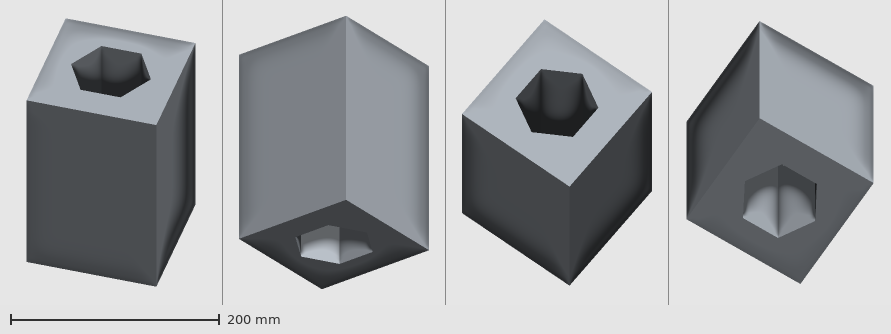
import cadquery as cq

block_side = 130.0
block_height = 200.0
bore_sides = 6
bore_across_corners = 80.0


def make_block():
    """Square block standing on the XY plane, centred on the Z axis."""
    return cq.Workplane("XY").rect(block_side, block_side).extrude(block_height)


def make_bore():
    """Hexagonal bore through the full height, with two corners towards +X and -X."""
    return cq.Workplane("XY").polygon(bore_sides, bore_across_corners).extrude(block_height)


result = make_block().cut(make_bore())